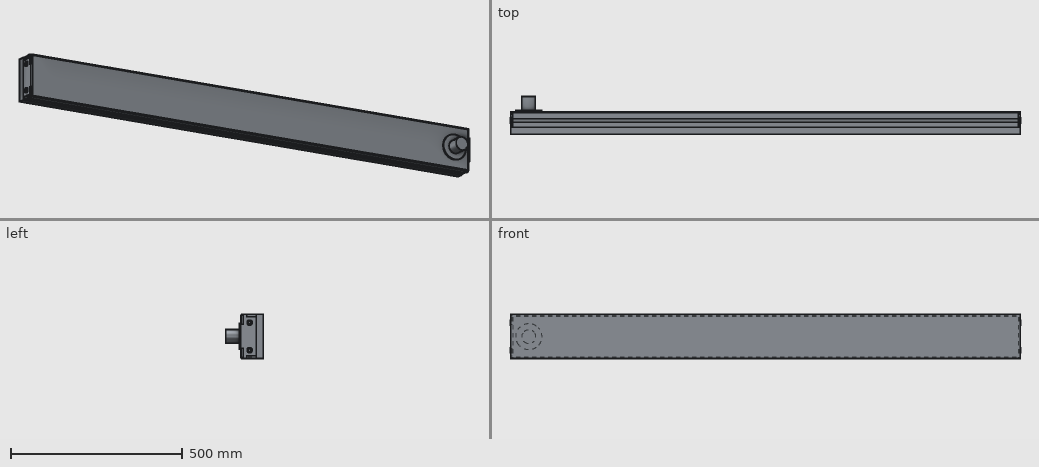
import cadquery as cq

LENGTH = 1492.0
DEPTH = 110.0
HEIGHT = 130.0

HEAD_RISE = 1.0
HEAD_DIAMETER = 15.0
HEAD_SPACING = 80.0
HEAD_Y = 40.0
SOCKET_DIAMETER = 9.0
SOCKET_DEPTH = 1.0

PANEL_LENGTH = LENGTH - 2 * HEAD_RISE
PANEL_THICKNESS = 21.0

CAP_THICKNESS = 6.0
RELIEF_DEPTH = 3.0
SHOULDER_HEIGHT = 113.0
SHOULDER_END_Y = 49.0
CORNER_START_Y = 58.0
CORNER_GAP = 70.0

HOUSING_LENGTH = PANEL_LENGTH - 2 * CAP_THICKNESS
HOUSING_BACK_Y = 65.0
BACK_STEP_Y = 63.0
BACK_STEP_DROP = 3.0
GROOVE_START_Y = 36.0
GROOVE_END_Y = 45.0
GROOVE_DEPTH = 6.0

FLANGE_DIAMETER = 76.0
FLANGE_THICKNESS = 5.0
SPIGOT_DIAMETER = 40.0
MOUNT_FROM_END = 52.0
MOUNT_X = MOUNT_FROM_END - PANEL_LENGTH / 2


def block(length, y_start, y_end, height):
    """Box centred on X and Z that runs from y_start to y_end."""
    depth = y_end - y_start
    return cq.Workplane("XY").box(length, depth, height).translate((0, y_start + depth / 2, 0))


def make_panel():
    return block(PANEL_LENGTH, 0, PANEL_THICKNESS, HEIGHT)


def make_profile(length):
    """Plain bar with the back edges stepped in at the top and bottom."""
    body = block(length, PANEL_THICKNESS, BACK_STEP_Y, HEIGHT)
    return body.union(block(length, BACK_STEP_Y, HOUSING_BACK_Y, HEIGHT - 2 * BACK_STEP_DROP))


def make_housing():
    """Stepped bar with a groove along its top and bottom."""
    housing = make_profile(HOUSING_LENGTH)
    groove = block(HOUSING_LENGTH, GROOVE_START_Y, GROOVE_END_Y, 2 * GROOVE_DEPTH)
    for side in (-1, 1):
        housing = housing.cut(groove.translate((0, 0, side * HEIGHT / 2)))
    return housing


def make_relief(y_start, y_end, inner_height):
    """Pair of shallow cuts in the +X cap face, above and below inner_height."""
    band = block(2 * RELIEF_DEPTH, y_start, y_end, HEIGHT)
    relief = band.cut(block(2 * RELIEF_DEPTH, y_start, y_end, inner_height))
    return relief.translate((CAP_THICKNESS / 2, 0, 0))


def make_end_cap(side):
    """Cover with the bar outline, relieved edges and two socket screw heads; side is -1 or 1 along X."""
    plate = make_profile(CAP_THICKNESS)
    plate = plate.cut(make_relief(PANEL_THICKNESS, SHOULDER_END_Y, SHOULDER_HEIGHT))
    plate = plate.cut(make_relief(CORNER_START_Y, HOUSING_BACK_Y, CORNER_GAP))
    outer_face = cq.Workplane("YZ", origin=(CAP_THICKNESS / 2, 0, 0))
    head_centres = [(HEAD_Y, -HEAD_SPACING / 2), (HEAD_Y, HEAD_SPACING / 2)]
    heads = outer_face.pushPoints(head_centres).circle(HEAD_DIAMETER / 2).extrude(HEAD_RISE)
    sockets = (
        outer_face.workplane(offset=HEAD_RISE)
        .pushPoints(head_centres)
        .polygon(6, SOCKET_DIAMETER)
        .extrude(-SOCKET_DEPTH)
    )
    cap = plate.union(heads).cut(sockets)
    cap = cap.translate(((PANEL_LENGTH - CAP_THICKNESS) / 2, 0, 0))
    return cap if side > 0 else cap.mirror("YZ")


def make_mount():
    """Round flange against the housing back with a spigot pointing to +Y."""
    back_face = cq.Workplane("XZ", origin=(MOUNT_X, HOUSING_BACK_Y, 0))
    flange = back_face.circle(FLANGE_DIAMETER / 2).extrude(-FLANGE_THICKNESS)
    spigot = back_face.circle(SPIGOT_DIAMETER / 2).extrude(HOUSING_BACK_Y - DEPTH)
    return flange.union(spigot)


panel = make_panel()
housing = make_housing()
end_caps = [make_end_cap(side) for side in (-1, 1)]
mount = make_mount()

result = cq.Compound.makeCompound(
    [panel.val(), housing.val(), *[cap.val() for cap in end_caps], mount.val()]
)